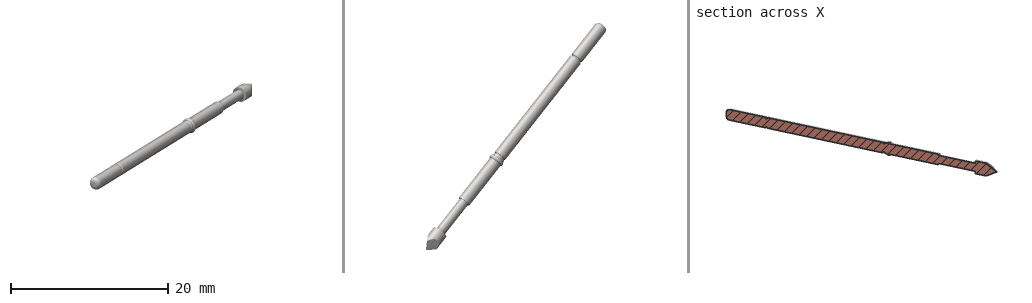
import cadquery as cq
import math

total_length = 37.0
tip_y = total_length / 2

head_diameter = 2.0
head_length = 3.0
plunger_diameter = 1.3
barrel_start = 8.0
barrel_diameter = 1.67
barrel_end_radius = 0.47

tip_face_count = 3
tip_face_angle = 30.0

press_ring_centre = 14.78
press_ring_diameter = 2.0
press_ring_section_radius = 0.27

crimp_shoulder_radius = 0.16
crimp_neck_length = 0.12
front_crimp_start = 15.24
rear_crimp_start = 31.3


def cylinder(diameter, start, end):
    """Round bar between two stations."""
    plane = cq.Plane(origin=(0, tip_y - start, 0), xDir=(1, 0, 0), normal=(0, -1, 0))
    return cq.Workplane(plane).circle(diameter / 2).extrude(end - start)


def revolve_about_axis(profile):
    """Turn a closed profile in the XY plane about the Y axis."""
    return profile.revolve(360, (0, 0, 0), (0, 1, 0))


def make_head():
    """Head ground to a three-sided point."""
    head = cylinder(head_diameter, 0, head_length)
    cut_length = 2 * head_diameter
    cut_reach = cut_length * math.tan(math.radians(tip_face_angle))
    face_cutter = (
        cq.Workplane("XY")
        .moveTo(0, tip_y)
        .lineTo(cut_reach, tip_y - cut_length)
        .lineTo(cut_reach, tip_y)
        .close()
        .extrude(head_diameter, both=True)
    )
    for index in range(tip_face_count):
        azimuth = index * 360 / tip_face_count
        head = head.cut(face_cutter.rotate((0, 0, 0), (0, 1, 0), azimuth))
    return head


def make_press_ring():
    """Bead whose section is a full circle sunk into the barrel."""
    section_centre = press_ring_diameter / 2 - press_ring_section_radius
    profile = (
        cq.Workplane("XY")
        .moveTo(section_centre, tip_y - press_ring_centre)
        .circle(press_ring_section_radius)
    )
    return revolve_about_axis(profile)


def crimp_cutter(start, rear_is_square):
    """Ring that removes a crimp groove with a rounded front and a square or rounded rear."""
    outer = barrel_diameter / 2
    neck = outer - crimp_shoulder_radius
    start_y = tip_y - start
    neck_front_y = start_y - crimp_shoulder_radius
    neck_rear_y = neck_front_y - crimp_neck_length
    profile = (
        cq.Workplane("XY")
        .moveTo(outer, start_y)
        .radiusArc((neck, neck_front_y), crimp_shoulder_radius)
        .lineTo(neck, neck_rear_y)
    )
    if rear_is_square:
        profile = profile.lineTo(outer, neck_rear_y)
    else:
        rear_point = (outer, neck_rear_y - crimp_shoulder_radius)
        profile = profile.radiusArc(rear_point, crimp_shoulder_radius)
    return revolve_about_axis(profile.close())


def make_barrel():
    """Barrel with a rounded tail and two crimp grooves."""
    barrel = cylinder(barrel_diameter, barrel_start, total_length)
    barrel = barrel.faces("<Y").edges().fillet(barrel_end_radius)
    front_crimp = crimp_cutter(front_crimp_start, rear_is_square=True)
    rear_crimp = crimp_cutter(rear_crimp_start, rear_is_square=False)
    return barrel.cut(front_crimp).cut(rear_crimp)


plunger = cylinder(plunger_diameter, head_length, barrel_start)
result = make_head().union(plunger).union(make_barrel()).union(make_press_ring())